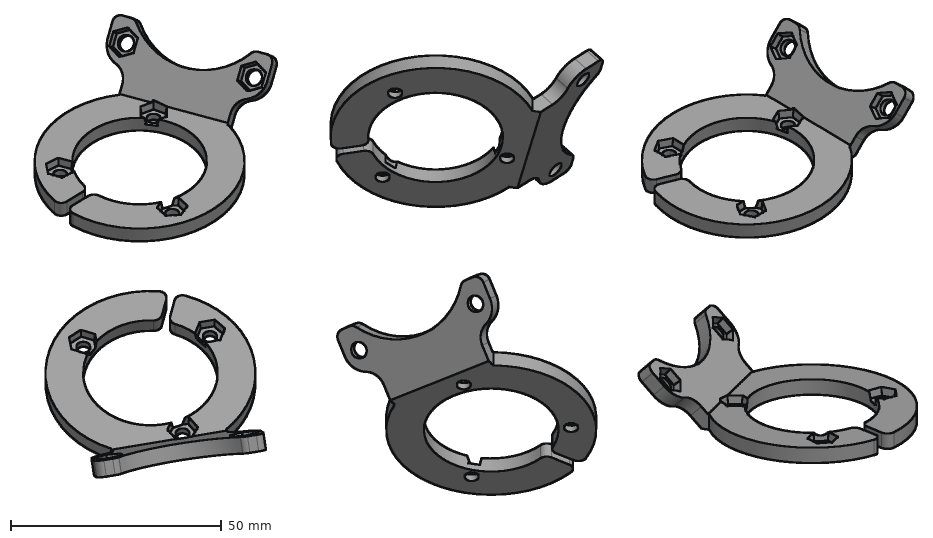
import cadquery as cq
import math

thickness = 4.0
outer_diameter = 50.0
outer_radius = outer_diameter / 2
bore_radius = 16.0
split_angle = 246
split_width = 2.0
split_corner_radius = 2.0

bend_angle = 45
overall_depth = 61.8
overall_height = 16.95
plate_half_width = 20.6
neck_half_width = 14.0
saddle_radius = 18.55
saddle_bottom = 10.15
lug_top_radius = 2.05
lug_bottom_radius = 5.7
neck_radius = 4.65
lug_shoulder = 8.15
neck_shoulder = 5.55

ring_hole_diameter = 3.35
lug_hole_diameter = 3.95
nut_width = 6.3
nut_floor_width = 5.7
nut_depth = 2.1
nut_clearance = 1.25
lug_hole_x = 16.5
lug_hole_distance = 12.2
ring_screws = [
    (-3.95, 18.2, 23),
    (-16.5, -9.5, 30),
    (13.65, -12.6, -3),
]

bend_rad = math.radians(bend_angle)
plate_rise = overall_height - thickness
plate_length = plate_rise / math.sin(bend_rad)
back_y = overall_depth - outer_radius
tip_y = back_y - thickness * math.sin(bend_rad)
bend_y = tip_y - plate_rise / math.tan(bend_rad)
neck_y = math.sqrt(outer_radius**2 - neck_half_width**2)
bottom_bend_y = bend_y + thickness * math.tan(bend_rad / 2)

plate_plane = cq.Plane(
    origin=(0, bend_y, thickness),
    xDir=(1, 0, 0),
    normal=(0, -math.sin(bend_rad), math.cos(bend_rad)),
)


def make_split_ring():
    """Ring opened by a parallel slot whose four corners are rounded, trimmed flat where the neck joins it."""
    ring = cq.Workplane("XY").circle(outer_radius).circle(bore_radius).extrude(thickness)
    slot = cq.Workplane("XY").center(outer_radius, 0).rect(outer_radius, split_width).extrude(thickness)
    slot_corners = cq.selectors.BoxSelector(
        (bore_radius / 2, -split_width, -thickness),
        (outer_radius + 0.6, split_width, 2 * thickness),
    )
    ring = ring.cut(slot).edges("|Z").edges(slot_corners).fillet(split_corner_radius)
    ring = ring.rotate((0, 0, 0), (0, 0, 1), split_angle)
    behind_neck = (
        cq.Workplane("XY")
        .center(0, neck_y + outer_radius)
        .rect(2 * outer_radius, 2 * outer_radius)
        .extrude(thickness)
    )
    return ring.cut(behind_neck)


def make_plate():
    """Bent strip trimmed to the lugged outline seen square to the plate."""
    strip_start_y = bend_y - thickness
    strip = (
        cq.Workplane("YZ")
        .polyline([
            (strip_start_y, 0),
            (bottom_bend_y, 0),
            (back_y, overall_height - thickness * math.cos(bend_rad)),
            (tip_y, overall_height),
            (bend_y, thickness),
            (strip_start_y, thickness),
        ])
        .close()
        .extrude(plate_half_width, both=True)
    )

    saddle_center = saddle_bottom + saddle_radius
    saddle_half_width = math.sqrt(saddle_radius**2 - (saddle_center - plate_length) ** 2)
    outline_start = -2 * thickness
    outline = (
        cq.Workplane(plate_plane)
        .moveTo(-neck_half_width, outline_start)
        .lineTo(neck_half_width, outline_start)
        .lineTo(neck_half_width, neck_shoulder)
        .lineTo(plate_half_width, lug_shoulder)
        .lineTo(plate_half_width, plate_length)
        .lineTo(saddle_half_width, plate_length)
        .threePointArc((0, saddle_bottom), (-saddle_half_width, plate_length))
        .lineTo(-plate_half_width, plate_length)
        .lineTo(-plate_half_width, lug_shoulder)
        .lineTo(-neck_half_width, neck_shoulder)
        .close()
        .extrude(3 * thickness, both=True)
    )

    def round_corners(body, x, distance, radius):
        for side in (-1, 1):
            corner = plate_plane.toWorldCoords((side * x, distance, 0))
            body = body.edges(cq.selectors.NearestToPointSelector(corner)).fillet(radius)
        return body

    outline = round_corners(outline, plate_half_width, plate_length, lug_top_radius)
    outline = round_corners(outline, saddle_half_width, plate_length, lug_top_radius)
    outline = round_corners(outline, plate_half_width, lug_shoulder, lug_bottom_radius)
    outline = round_corners(outline, neck_half_width, neck_shoulder, neck_radius)
    return strip.intersect(outline)


def screw_cutter(plane, x, y, flat_angle, hole_diameter):
    """Through hole and nut pocket sunk from the plane, narrowing to its floor.

    The pocket also rises clear of the plane, to notch the bent plate where they meet.
    """
    corner_factor = 1 / math.cos(math.pi / 6)
    hole = cq.Workplane(plane).center(x, y).circle(hole_diameter / 2).extrude(-thickness)
    turned = cq.Location(cq.Vector(x, y, 0), cq.Vector(0, 0, 1), flat_angle)
    sunk = cq.Location(cq.Vector(x, y, -nut_depth), cq.Vector(0, 0, 1), flat_angle)
    rim = cq.Sketch().regularPolygon(nut_width / 2 * corner_factor, 6).moved(turned)
    floor = cq.Sketch().regularPolygon(nut_floor_width / 2 * corner_factor, 6).moved(sunk)
    pocket = cq.Workplane(plane).placeSketch(rim, floor).loft()
    clearance = cq.Workplane(plane).placeSketch(rim).extrude(nut_clearance)
    return hole.union(pocket).union(clearance)


result = make_split_ring().union(make_plate())

ring_top = cq.Plane(origin=(0, 0, thickness))
for screw_x, screw_y, flat_angle in ring_screws:
    result = result.cut(
        screw_cutter(ring_top, screw_x, screw_y, flat_angle, ring_hole_diameter)
    )

for side in (-1, 1):
    result = result.cut(
        screw_cutter(plate_plane, side * lug_hole_x, lug_hole_distance, 0, lug_hole_diameter)
    )